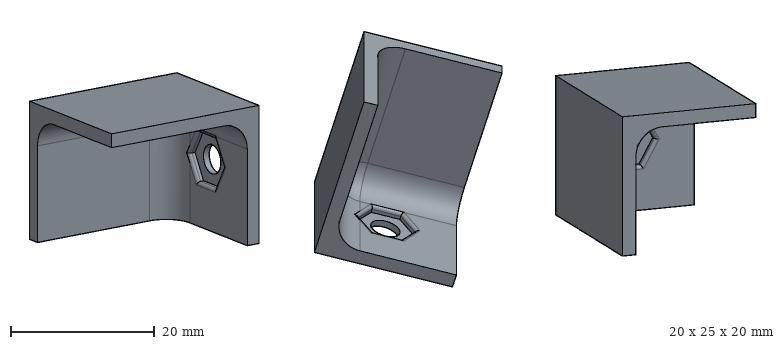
import cadquery as cq
import math

width = 20.0
depth = 25.0
height = 20.0

wall = 2.0
inner_radius = 4.0

hole_diameter = 4.2
nut_across_flats = 7.2
nut_pocket_depth = 1.0
mouth_radius = 0.5

mouth_across_flats = nut_across_flats + 2 * mouth_radius
back_wall_face = depth / 2 - wall
pocket_floor = back_wall_face + nut_pocket_depth


def corner_bracket():
    """Three walls meeting at a corner, with rounded inner edges."""
    block = cq.Workplane("XY").box(width, depth, height)
    cavity = (
        cq.Workplane("XY")
        .box(width, depth, height)
        .edges("(<X and >Y) or (<X and >Z) or (>Y and >Z)")
        .fillet(inner_radius)
        .translate((wall, -wall, -wall))
    )
    return block.cut(cavity)


def hexagon_prism(across_flats, back, length):
    """Hexagonal prism reaching from `back` towards -Y, with two flats horizontal."""
    across_corners = across_flats / math.cos(math.pi / 6)
    return cq.Workplane("XZ", origin=(0, back, 0)).polygon(6, across_corners).extrude(length)


def nut_pocket():
    """Hexagonal recess whose rim flares out smoothly to the back wall face."""
    straight_pocket = hexagon_prism(nut_across_flats, pocket_floor, nut_pocket_depth)
    front_slab = (
        cq.Workplane("XZ", origin=(0, back_wall_face, 0))
        .rect(width, height)
        .extrude(inner_radius)
    )
    pocket_with_slab = straight_pocket.union(front_slab)
    rim = cq.selectors.BoxSelector(
        (-nut_across_flats, back_wall_face - mouth_radius / 2, -nut_across_flats),
        (nut_across_flats, back_wall_face + mouth_radius / 2, nut_across_flats),
    )
    flared_pocket = pocket_with_slab.edges(rim).fillet(mouth_radius)
    return flared_pocket.intersect(hexagon_prism(mouth_across_flats, pocket_floor, inner_radius))


def screw_hole():
    """Round through hole in the back wall."""
    return cq.Workplane("XZ", origin=(0, depth / 2, 0)).circle(hole_diameter / 2).extrude(wall)


result = corner_bracket().cut(nut_pocket()).cut(screw_hole())